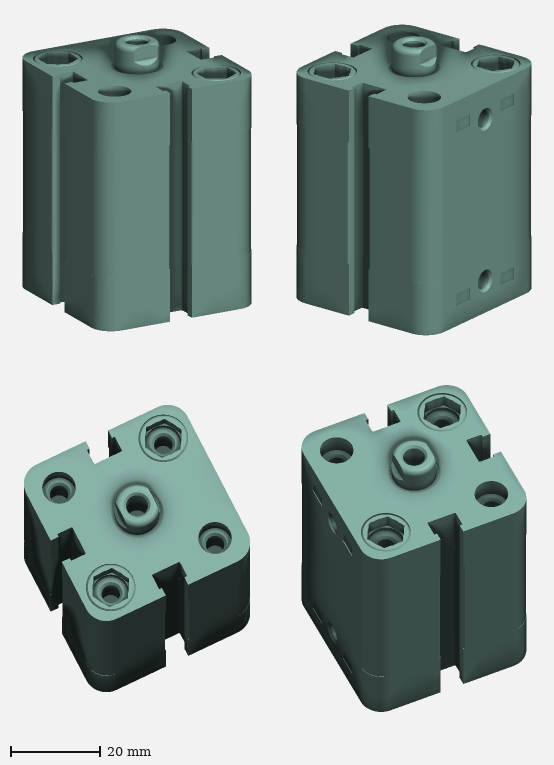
import cadquery as cq
import math

TOTAL_HEIGHT = 60.0
SIDE = 40.3
HALF_SIDE = SIDE / 2
CAP_HEIGHT = 12.4
HOUSING_HEIGHT = 54.05
FRONT_CAP_BASE = HOUSING_HEIGHT - CAP_HEIGHT
BARREL_HEIGHT = FRONT_CAP_BASE - CAP_HEIGHT
CAP_CORNER_RADIUS = 10.0 / 2
BARREL_CORNER_RADIUS = 10.5 / 2

SLOT_ANGLES = (0, 90, 180)
SLOT_MOUTH_WIDTH = 5.6
SLOT_WIDTH = 6.95
SLOT_LIP = 2.0
SLOT_DEPTH = 5.7
CAP_SLOT_FILLET = 0.25
BARREL_SLOT_FILLET = 0.5

THREAD_DIAMETER = 4.15
THREAD_MOUTH_DIAMETER = 5.3

PORT_INSET = 7.6
PORT_DEPTH = 4.8

LABEL_WIDTH = 5.0
LABEL_HEIGHT = 3.0
LABEL_DEPTH = 0.2
LABEL_OFFSET = 8.0
LABEL_INSET = 6.2

BOLT_OFFSET = 13.0
PLAIN_HOLE_POSITIONS = ((-BOLT_OFFSET, BOLT_OFFSET), (BOLT_OFFSET, -BOLT_OFFSET))
SOCKET_POSITIONS = ((-BOLT_OFFSET, -BOLT_OFFSET), (BOLT_OFFSET, BOLT_OFFSET))
COUNTERBORE_DIAMETER = 7.5
COUNTERBORE_DEPTH = 4.5
SOCKET_RIM_DIAMETER = 11.1
SOCKET_FACE_DIAMETER = 10.2
HEX_ACROSS_FLATS = 8.0
HEX_RELIEF_DIAMETER = 8.15
HEX_DEPTH = 3.2
SOCKET_BORE_DIAMETER = 8.0
SOCKET_FLOOR_DIAMETER = 7.5
SOCKET_BORE_DEPTH = COUNTERBORE_DEPTH

ROD_DIAMETER = 10.0
ROD_TOP_FILLET = 1.2
ROD_ACROSS_FLATS = 8.0
ROD_FLAT_HEIGHT = 3.35
ROD_HOLE_DIAMETER = 4.9
ROD_HOLE_MOUTH_DIAMETER = 6.0
ROD_HOLE_DEPTH = 12.0
SEAL_MOUTH_DIAMETER = 12.0
SEAL_LIP_DIAMETER = 11.4
SEAL_BORE_DIAMETER = 10.9
SEAL_INNER_DIAMETER = 10.5
SEAL_MOUTH_DEPTH = 0.1
SEAL_STEP = 0.09


def rounded_block(height, corner_radius, base):
    """Square block with rounded vertical edges."""
    block = cq.Workplane("XY", origin=(0, 0, base)).rect(SIDE, SIDE).extrude(height)
    return block.edges("|Z").fillet(corner_radius)


def slot_parts(height, base):
    """Wide channel and narrow mouth of a T-slot in the +Y face."""
    floor_y = HALF_SIDE - SLOT_DEPTH
    lip_y = HALF_SIDE - SLOT_LIP
    plane = cq.Workplane("XY", origin=(0, 0, base))
    channel = plane.center(0, (floor_y + lip_y) / 2).rect(SLOT_WIDTH, lip_y - floor_y).extrude(height)
    mouth_y = HALF_SIDE - SLOT_DEPTH / 2
    mouth = plane.center(0, mouth_y).rect(SLOT_MOUTH_WIDTH, SLOT_DEPTH).extrude(height)
    return channel, mouth


def cut_slots(block, height, base, floor_fillet, mouth_fillet=0):
    """Cut the slots, rounding the channel floor corners and, if asked, the outer lips."""
    channel, mouth = slot_parts(height, base)
    cutter = channel.edges("|Z and <Y").fillet(floor_fillet).union(mouth)
    if mouth_fillet:
        flare_width = SLOT_MOUTH_WIDTH + 2 * mouth_fillet
        flare = cq.Workplane("XY", origin=(0, HALF_SIDE - mouth_fillet / 2, base))
        flare = flare.rect(flare_width, mouth_fillet).extrude(height)
        for side in (-1, 1):
            lip = cq.Workplane("XY", origin=(side * flare_width / 2, HALF_SIDE - mouth_fillet, base))
            flare = flare.cut(lip.circle(mouth_fillet).extrude(height))
        cutter = cutter.union(flare)
    for angle in SLOT_ANGLES:
        block = block.cut(cutter.rotate((0, 0, 0), (0, 0, 1), -angle))
    return block


def cone_hole(mouth_diameter, end_diameter, depth, top):
    """Conical cutter that goes down from the height given as top."""
    cone = cq.Solid.makeCone(end_diameter / 2, mouth_diameter / 2, depth)
    return cq.Workplane(cone).translate((0, 0, top - depth))


def round_hole(diameter, depth, top):
    """Cylindrical cutter that goes down from the height given as top."""
    return cq.Workplane("XY", origin=(0, 0, top - depth)).circle(diameter / 2).extrude(depth)


def threaded_hole(depth, top):
    """Tapping hole with a 45 degree countersunk mouth."""
    countersink = (THREAD_MOUTH_DIAMETER - THREAD_DIAMETER) / 2
    mouth = cone_hole(THREAD_MOUTH_DIAMETER, THREAD_DIAMETER, countersink, top)
    return round_hole(THREAD_DIAMETER, depth, top).union(mouth)


def cut_port_and_labels(cap, port_z, label_z):
    """Cut the air port and the two label recesses in the -X face."""
    port = threaded_hole(PORT_DEPTH, 0).rotate((0, 0, 0), (0, 1, 0), -90)
    cap = cap.cut(port.translate((-HALF_SIDE, 0, port_z)))
    for side in (-1, 1):
        label = cq.Workplane("XY").box(2 * LABEL_DEPTH, LABEL_WIDTH, LABEL_HEIGHT)
        cap = cap.cut(label.translate((-HALF_SIDE, side * LABEL_OFFSET, label_z)))
    return cap


def plain_mount():
    """Counterbored mounting hole."""
    counterbore = round_hole(COUNTERBORE_DIAMETER, COUNTERBORE_DEPTH, HOUSING_HEIGHT)
    floor_z = HOUSING_HEIGHT - COUNTERBORE_DEPTH
    return counterbore.union(threaded_hole(floor_z - FRONT_CAP_BASE, floor_z))


def socket_mount():
    """Hexagon socket inside a V-groove ring, with a round bore and a threaded hole below."""
    groove_depth = (SOCKET_RIM_DIAMETER - SOCKET_FACE_DIAMETER) / 2
    collar = cone_hole(SOCKET_FACE_DIAMETER, SOCKET_RIM_DIAMETER, groove_depth, HOUSING_HEIGHT)
    groove = round_hole(SOCKET_RIM_DIAMETER, groove_depth, HOUSING_HEIGHT).cut(collar)
    hex_corners = HEX_ACROSS_FLATS / math.cos(math.pi / 6)
    hexagon = cq.Workplane("XY", origin=(0, 0, HOUSING_HEIGHT - HEX_DEPTH))
    hexagon = hexagon.polygon(6, hex_corners).extrude(HEX_DEPTH)
    relief = round_hole(HEX_RELIEF_DIAMETER, HEX_DEPTH, HOUSING_HEIGHT)
    floor_z = HOUSING_HEIGHT - SOCKET_BORE_DEPTH
    taper = (SOCKET_BORE_DIAMETER - SOCKET_FLOOR_DIAMETER) / 2
    bore = round_hole(SOCKET_BORE_DIAMETER, SOCKET_BORE_DEPTH - taper, HOUSING_HEIGHT)
    bore = bore.union(cone_hole(SOCKET_BORE_DIAMETER, SOCKET_FLOOR_DIAMETER, taper, floor_z + taper))
    thread = threaded_hole(floor_z - FRONT_CAP_BASE, floor_z)
    return hexagon.union(relief).union(bore).union(thread).union(groove)


def rod_passage():
    """Rod bore through the front cap with a stepped seal recess at the top."""
    passage = round_hole(ROD_DIAMETER, CAP_HEIGHT, HOUSING_HEIGHT)
    mouth = cone_hole(SEAL_MOUTH_DIAMETER, SEAL_LIP_DIAMETER, SEAL_MOUTH_DEPTH, HOUSING_HEIGHT)
    passage = passage.union(mouth)
    ring_diameters = (SEAL_LIP_DIAMETER, SEAL_BORE_DIAMETER, SEAL_INNER_DIAMETER)
    for step, diameter in enumerate(ring_diameters, start=1):
        ring_depth = SEAL_MOUTH_DEPTH + step * SEAL_STEP
        passage = passage.union(round_hole(diameter, ring_depth, HOUSING_HEIGHT))
    return passage


def make_rear_cap():
    cap = rounded_block(CAP_HEIGHT, CAP_CORNER_RADIUS, 0)
    cap = cut_slots(cap, CAP_HEIGHT, 0, CAP_SLOT_FILLET)
    return cut_port_and_labels(cap, PORT_INSET, LABEL_INSET)


def make_barrel():
    barrel = rounded_block(BARREL_HEIGHT, BARREL_CORNER_RADIUS, CAP_HEIGHT)
    return cut_slots(barrel, BARREL_HEIGHT, CAP_HEIGHT, BARREL_SLOT_FILLET, BARREL_SLOT_FILLET)


def make_front_cap():
    cap = rounded_block(CAP_HEIGHT, CAP_CORNER_RADIUS, FRONT_CAP_BASE)
    cap = cut_slots(cap, CAP_HEIGHT, FRONT_CAP_BASE, CAP_SLOT_FILLET)
    cap = cut_port_and_labels(cap, HOUSING_HEIGHT - PORT_INSET, HOUSING_HEIGHT - LABEL_INSET)
    for x, y in PLAIN_HOLE_POSITIONS:
        cap = cap.cut(plain_mount().translate((x, y, 0)))
    for x, y in SOCKET_POSITIONS:
        cap = cap.cut(socket_mount().translate((x, y, 0)))
    return cap.cut(rod_passage())


def make_piston_rod():
    length = TOTAL_HEIGHT - FRONT_CAP_BASE
    rod = round_hole(ROD_DIAMETER, length, TOTAL_HEIGHT)
    rod = rod.faces(">Z").edges().fillet(ROD_TOP_FILLET)
    flat_x = ROD_ACROSS_FLATS / 2
    outer_x = ROD_DIAMETER / 2
    flat_z = TOTAL_HEIGHT - ROD_FLAT_HEIGHT
    ramp_z = flat_z - (outer_x - flat_x)
    flat_outline = ((flat_x, TOTAL_HEIGHT), (flat_x, flat_z), (outer_x, ramp_z), (outer_x, TOTAL_HEIGHT))
    flat_cut = cq.Workplane("XZ").polyline(flat_outline).close().extrude(outer_x, both=True)
    rod = rod.cut(flat_cut).cut(flat_cut.mirror("YZ"))
    countersink = (ROD_HOLE_MOUTH_DIAMETER - ROD_HOLE_DIAMETER) / 2
    rod = rod.cut(round_hole(ROD_HOLE_DIAMETER, ROD_HOLE_DEPTH, TOTAL_HEIGHT))
    return rod.cut(cone_hole(ROD_HOLE_MOUTH_DIAMETER, ROD_HOLE_DIAMETER, countersink, TOTAL_HEIGHT))


rear_cap = make_rear_cap()
barrel = make_barrel()
front_cap = make_front_cap()
piston_rod = make_piston_rod()

result = cq.Compound.makeCompound([rear_cap.val(), barrel.val(), front_cap.val(), piston_rod.val()])